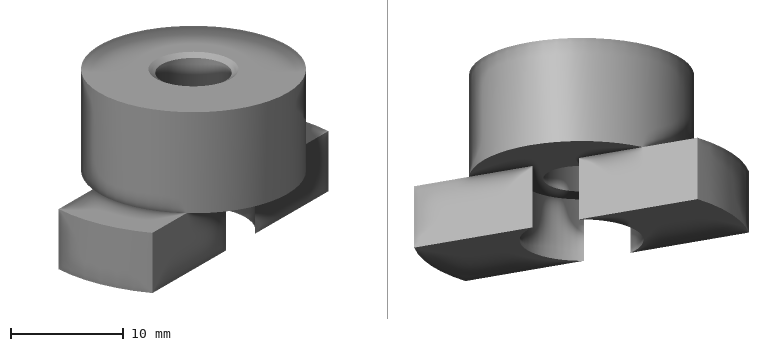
import cadquery as cq

span = 30.0
body_diameter = 20.0
lug_width = 10.0
total_height = 15.5
lug_height = 5.8
hole_diameter = 6.8
hole_mouth_diameter = 8.0
recess_diameter = 11.0

countersink_angle = 120.0


def make_lugs():
    """Two opposed lugs with round tips, parted by a round recess."""
    bar = cq.Workplane("XY").rect(lug_width, span).extrude(lug_height)
    tip_envelope = cq.Workplane("XY").circle(span / 2).extrude(lug_height)
    recess = cq.Workplane("XY").circle(recess_diameter / 2).extrude(lug_height)
    return bar.intersect(tip_envelope).cut(recess)


def make_body():
    """Round body above the lugs, with a countersunk through hole."""
    body = (
        cq.Workplane("XY")
        .workplane(offset=lug_height)
        .circle(body_diameter / 2)
        .extrude(total_height - lug_height)
    )
    return body.faces(">Z").workplane().cskHole(hole_diameter, hole_mouth_diameter, countersink_angle)


result = make_body().union(make_lugs())